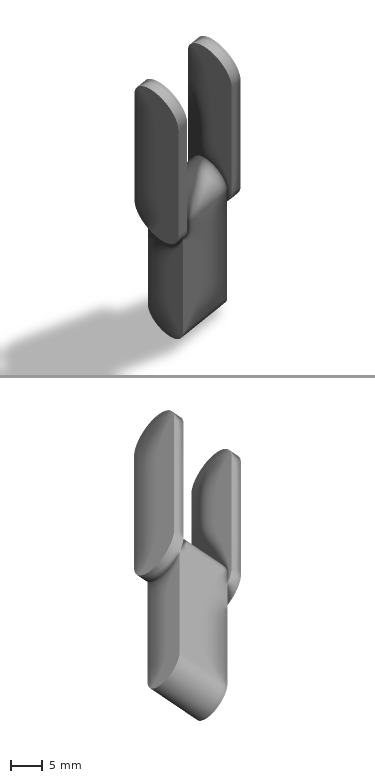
import cadquery as cq

overall_height = 69.0
plate_width = 10.0
plate_thickness = 2.0
link_width = 8.0
link_thickness = 10.0
pin_diameter = 5.0

end_spacing = (overall_height - plate_width / 2 - link_width / 2) / 2


def round_ended_bar(width, thickness, middle_y, middle_z):
    """Upright bar with full-round ends, centred at the given Y and Z."""
    return (
        cq.Workplane("XZ")
        .center(0, middle_z)
        .slot2D(end_spacing + width, width, 90)
        .extrude(thickness / 2, both=True)
        .translate((0, middle_y, 0))
    )


def pivot_cylinder():
    """Cylinder on the pivot axis, as long as the link is thick."""
    return cq.Workplane("XZ").circle(pin_diameter / 2).extrude(link_thickness / 2, both=True)


def make_fork():
    """Two side plates joined by the pivot pin."""
    plate_offset = (link_thickness + plate_thickness) / 2
    fork = pivot_cylinder()
    for side in (-1, 1):
        plate = round_ended_bar(plate_width, plate_thickness, side * plate_offset, end_spacing / 2)
        fork = fork.union(plate)
    return fork


def make_link():
    """Hanging bar with a hole that fits the pivot pin."""
    bar = round_ended_bar(link_width, link_thickness, 0, -end_spacing / 2)
    return bar.cut(pivot_cylinder())


fork = make_fork()
link = make_link()

result = cq.Compound.makeCompound([fork.val(), link.val()])